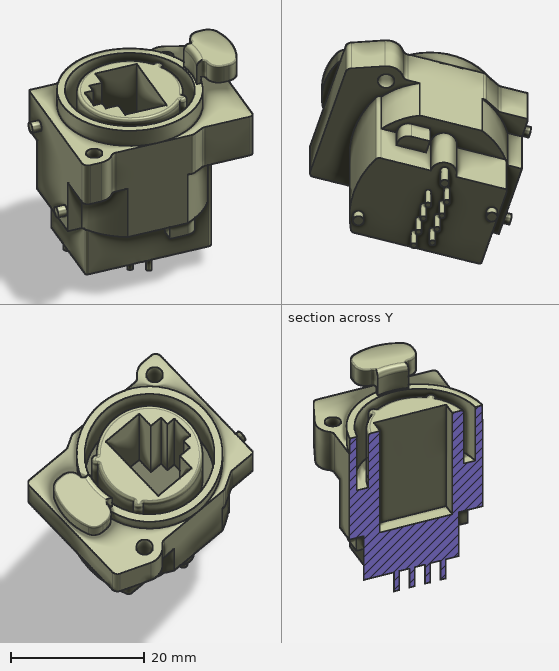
import cadquery as cq
import math


FEET_BOTTOM = 2.02
BASE_BOTTOM = 3.5
KEY_BOTTOM = 8.1
BODY_BOTTOM = 11.55
FLANGE_BOTTOM = 20.35
FLANGE_TOP = 27.4
RING_TOP = 30.2
TAB_BOTTOM = 31.28
TAB_TOP = 34.3

RING_RADIUS = 10.95
BORE_RADIUS = 9.75
PLUG_RADIUS = 7.95
PLUG_ROUNDING = 0.5
RIB_RADIUS = 0.8
RIB_X = 4.65
RIB_Y = math.sqrt(PLUG_RADIUS**2 - RIB_X**2)

OPENING_BACK = 3.55
OPENING_STEPS = [(5.9, -3.2), (3.25, -5.2), (1.82, -6.6)]

FLANGE_FRONT = -12.55
FLANGE_BACK = 16.12
HALF_WIDTH = 10.95
FRONT_LEFT_X = -9.4
BACK_RIGHT_X = 9.75
EAR_X = 9.88
EAR_Y = 9.85
EAR_RADIUS = 2.68
SCREW_HOLE_RADIUS = 1.25
BLEND_RADIUS = 1.0
FRONT_CORNER_RADIUS = 0.3
BACK_CORNER_RADIUS = 0.7
SHOULDER_Y = 5.3
BACK_SHOULDER_Y = 5.83
SHOULDER_ANGLE = math.radians(30)
EAR_SIDE_ANGLE = math.radians(159)

BODY_RADIUS = 11.97
BODY_BLOCK_HALF_WIDTH = 6.1
BASE_HALF_WIDTH = 7.0
BASE_FRONT = -10.0
BASE_FRONT_ROUNDING = 0.38
BASE_BACK_CORNER_Y = 10.3
BASE_BACK_ROUNDING = 0.7

KEY_HALF_WIDTH = 9.12
KEY_FRONT = 2.75
KEY_BACK = 7.37
KEY_ROUNDING = 1.7
COLUMN_RADIUS = 2.0
COLUMN_X = -7.03

CONTACT_COUNT = 8
CONTACT_PITCH = 1.27
CONTACT_ROW_Y = 1.27
CONTACT_RADIUS = 0.45
GROUND_PIN_X = -7.58
GROUND_PIN_RADIUS = 0.65
PEG_RADIUS = 0.82
FEET = [(-2.55, -8.9), (3.8, 10.12)]
FRONT_PEG_TIP = -14.03
FRONT_PEGS = [(-5.08, 23.65), (5.1, 14.75)]

TAB_BACK = 16.55
TAB_HALF_WIDTH = 5.0
TAB_CORNER_RADIUS = 2.0
TAB_BACK_RADIUS = 9.65
TAB_SIDE_FRONT = 13.15
TAB_EDGE_ROUNDING = 0.2
STRAP_HALF_WIDTH = 2.5
STRAP_FRONT_RADIUS = 10.12
STRAP_BACK_RADIUS = 10.8
STRAP_ROUNDING = 1.0


def prism(sketch, bottom, top):
    """Extrude a closed XY outline between two levels."""
    return sketch.extrude(top - bottom).translate((0, 0, bottom))


def cylinder(radius, bottom, top, x=0, y=0):
    return prism(cq.Workplane("XY").center(x, y).circle(radius), bottom, top)


def block(x_min, x_max, y_min, y_max, bottom, top):
    outline = cq.Workplane("XY").moveTo(x_min, y_min).lineTo(x_max, y_min).lineTo(x_max, y_max)
    return prism(outline.lineTo(x_min, y_max).close(), bottom, top)


def polar(centre, radius, angle):
    return (centre[0] + radius * math.cos(angle), centre[1] + radius * math.sin(angle))


def half_turned(point):
    """Turn a point half a turn about the socket axis."""
    return (-point[0], -point[1])


def reflected(point):
    """Reflect a point to the other side of X = 0."""
    return (-point[0], point[1])


def flange():
    """Plate with two diagonally opposite screw ears and stepped-in sides."""
    ear = (-EAR_X, EAR_Y)
    ear_start = polar(ear, EAR_RADIUS, EAR_SIDE_ANGLE)
    blend_x = -HALF_WIDTH - BLEND_RADIUS
    centre_distance = EAR_RADIUS + BLEND_RADIUS
    blend_y = EAR_Y - math.sqrt(centre_distance**2 - (blend_x + EAR_X) ** 2)
    ear_end_angle = math.atan2(blend_y - EAR_Y, blend_x + EAR_X) + 2 * math.pi
    ear_end = polar(ear, EAR_RADIUS, ear_end_angle)
    ear_middle = polar(ear, EAR_RADIUS, (EAR_SIDE_ANGLE + ear_end_angle) / 2)
    blend_middle = polar((blend_x, blend_y), BLEND_RADIUS, (ear_end_angle - math.pi) / 2)
    blend_end = (-HALF_WIDTH, blend_y)

    right_ear_end = (EAR_X + EAR_RADIUS, -EAR_Y)
    right_ear_middle = half_turned(polar(ear, EAR_RADIUS, (math.pi + ear_end_angle) / 2))

    left_step = (HALF_WIDTH + FRONT_LEFT_X) / math.tan(SHOULDER_ANGLE)
    right_step = (HALF_WIDTH - BACK_RIGHT_X) / math.tan(SHOULDER_ANGLE)
    ear_side_slope = math.tan(EAR_SIDE_ANGLE - math.pi / 2)
    back_left_x = ear_start[0] + (FLANGE_BACK - ear_start[1]) / ear_side_slope
    front_left = (FRONT_LEFT_X, FLANGE_FRONT)
    front_right = (EAR_X + EAR_RADIUS, FLANGE_FRONT)
    back_left = (back_left_x, FLANGE_BACK)
    back_right = (BACK_RIGHT_X, FLANGE_BACK)
    shoulders = [
        (-HALF_WIDTH, -SHOULDER_Y),
        (FRONT_LEFT_X, -SHOULDER_Y - left_step),
        (HALF_WIDTH, BACK_SHOULDER_Y),
        (BACK_RIGHT_X, BACK_SHOULDER_Y + right_step),
    ]

    outline = (
        cq.Workplane("XY")
        .moveTo(*ear_start)
        .threePointArc(ear_middle, ear_end)
        .threePointArc(blend_middle, blend_end)
        .lineTo(*shoulders[0])
        .lineTo(*shoulders[1])
        .lineTo(*front_left)
        .lineTo(*front_right)
        .lineTo(*right_ear_end)
        .threePointArc(right_ear_middle, half_turned(ear_end))
        .threePointArc(half_turned(blend_middle), half_turned(blend_end))
        .lineTo(*shoulders[2])
        .lineTo(*shoulders[3])
        .lineTo(*back_right)
        .lineTo(*back_left)
        .close()
    )
    plate = prism(outline, FLANGE_BOTTOM, FLANGE_TOP)

    corner_groups = [
        (BLEND_RADIUS, shoulders + [front_right, back_left]),
        (FRONT_CORNER_RADIUS, [front_left]),
        (BACK_CORNER_RADIUS, [back_right]),
    ]
    middle = (FLANGE_BOTTOM + FLANGE_TOP) / 2
    for radius, corners in corner_groups:
        for x, y in corners:
            edge = plate.edges("|Z").edges(cq.selectors.NearestToPointSelector((x, y, middle)))
            plate = edge.fillet(radius)
    return plate


def screw_holes():
    left = cylinder(SCREW_HOLE_RADIUS, FLANGE_BOTTOM, FLANGE_TOP, -EAR_X, EAR_Y)
    right = cylinder(SCREW_HOLE_RADIUS, FLANGE_BOTTOM, FLANGE_TOP, EAR_X, -EAR_Y)
    return left.union(right)


def body():
    """Round body with flattened sides and a flat block at the front."""
    flats = block(-HALF_WIDTH, HALF_WIDTH, -BODY_RADIUS, BODY_RADIUS, BODY_BOTTOM, FLANGE_BOTTOM)
    front = block(
        -BODY_BLOCK_HALF_WIDTH, BODY_BLOCK_HALF_WIDTH, FLANGE_FRONT, 0, BODY_BOTTOM, FLANGE_BOTTOM
    )
    return cylinder(BODY_RADIUS, BODY_BOTTOM, FLANGE_BOTTOM).intersect(flats).union(front)


def base():
    """Base with a bowed back, with its back half reaching up to the flange."""
    outline = (
        cq.Workplane("XY")
        .moveTo(-BASE_HALF_WIDTH, BASE_FRONT)
        .lineTo(BASE_HALF_WIDTH, BASE_FRONT)
        .lineTo(BASE_HALF_WIDTH, BASE_BACK_CORNER_Y)
        .threePointArc((0, BODY_RADIUS), (-BASE_HALF_WIDTH, BASE_BACK_CORNER_Y))
        .close()
    )
    solid = prism(outline, BASE_BOTTOM, FLANGE_BOTTOM)
    solid = solid.edges("|Z and <Y").fillet(BASE_FRONT_ROUNDING)
    solid = solid.edges("|Z").edges(">(-1, 1, 0) or >(1, 1, 0)").fillet(BASE_BACK_ROUNDING)
    upper_front = block(
        -BASE_HALF_WIDTH, BASE_HALF_WIDTH, BASE_FRONT, 0, BODY_BOTTOM, FLANGE_BOTTOM
    )
    return solid.cut(upper_front)


def keys():
    """Bar across the base whose ends are the two side keys, rounded toward the back."""
    bar = block(-KEY_HALF_WIDTH, KEY_HALF_WIDTH, KEY_FRONT, KEY_BACK, KEY_BOTTOM, BODY_BOTTOM)
    return bar.edges("|Z and >Y").fillet(KEY_ROUNDING)


def pins_and_pegs():
    pins = cylinder(GROUND_PIN_RADIUS, 0, BASE_BOTTOM, GROUND_PIN_X)
    for index in range(CONTACT_COUNT):
        x = (index - (CONTACT_COUNT - 1) / 2) * CONTACT_PITCH
        y = CONTACT_ROW_Y if index % 2 else -CONTACT_ROW_Y
        pins = pins.union(cylinder(CONTACT_RADIUS, 0, BASE_BOTTOM, x, y))
    for x, y in FEET:
        pins = pins.union(cylinder(PEG_RADIUS, FEET_BOTTOM, BASE_BOTTOM, x, y))
    for x, z in FRONT_PEGS:
        tip_plane = cq.Workplane("XZ", origin=(x, FRONT_PEG_TIP, z))
        pins = pins.union(tip_plane.circle(PEG_RADIUS).extrude(FRONT_PEG_TIP - FLANGE_FRONT))
    return pins


def plug():
    """Round core with two ribs along it, rounded at the top rim."""
    core = cylinder(PLUG_RADIUS, FLANGE_BOTTOM, RING_TOP)
    for x in (-RIB_X, RIB_X):
        core = core.union(cylinder(RIB_RADIUS, FLANGE_BOTTOM, RING_TOP, x, RIB_Y))
    return core.faces(">Z").edges().fillet(PLUG_ROUNDING)


def opening():
    """Stepped opening, narrowing toward the front."""
    cavity = cq.Workplane("XY")
    for half_width, front in OPENING_STEPS:
        cavity = cavity.union(block(-half_width, half_width, front, OPENING_BACK, BODY_BOTTOM, RING_TOP))
    return cavity


def strap_rolled_edge():
    """Ring of waste outside the quarter-round that turns the strap into the tab top."""
    roll_start = TAB_TOP - STRAP_ROUNDING
    roll_end = STRAP_FRONT_RADIUS + STRAP_ROUNDING
    roll_middle = polar((roll_end, roll_start), STRAP_ROUNDING, math.radians(135))
    return (
        cq.Workplane("XZ")
        .moveTo(BORE_RADIUS, roll_start)
        .lineTo(STRAP_FRONT_RADIUS, roll_start)
        .threePointArc(roll_middle, (roll_end, TAB_TOP))
        .lineTo(BORE_RADIUS, TAB_TOP)
        .close()
        .revolve(360, (0, 0, 0), (0, 1, 0))
    )


def push_tab():
    """Rounded thumb pad on a curved strap that stands on the ring."""
    strap_front_y = math.sqrt(STRAP_FRONT_RADIUS**2 - STRAP_HALF_WIDTH**2)
    corner_x = TAB_HALF_WIDTH - TAB_CORNER_RADIUS
    corner_front_y = TAB_SIDE_FRONT - TAB_CORNER_RADIUS
    neck_radius = corner_x - STRAP_HALF_WIDTH
    neck_y = corner_front_y - neck_radius
    back_centre = (0, TAB_BACK - TAB_BACK_RADIUS)
    centre_distance = TAB_BACK_RADIUS - TAB_CORNER_RADIUS
    tangent_angle = math.acos(corner_x / centre_distance)
    back_corner_y = back_centre[1] + centre_distance * math.sin(tangent_angle)

    strap_corner = (STRAP_HALF_WIDTH, strap_front_y)
    neck_start = (STRAP_HALF_WIDTH, neck_y)
    neck_middle = polar((corner_x, neck_y), neck_radius, math.radians(135))
    neck_end = (corner_x, corner_front_y)
    front_middle = polar((corner_x, TAB_SIDE_FRONT), TAB_CORNER_RADIUS, math.radians(-45))
    side_front = (TAB_HALF_WIDTH, TAB_SIDE_FRONT)
    side_back = (TAB_HALF_WIDTH, back_corner_y)
    back_middle = polar((corner_x, back_corner_y), TAB_CORNER_RADIUS, tangent_angle / 2)
    back_start = polar(back_centre, TAB_BACK_RADIUS, tangent_angle)

    outline = (
        cq.Workplane("XY")
        .moveTo(*reflected(strap_corner))
        .threePointArc((0, STRAP_FRONT_RADIUS), strap_corner)
        .lineTo(*neck_start)
        .threePointArc(neck_middle, neck_end)
        .threePointArc(front_middle, side_front)
        .lineTo(*side_back)
        .threePointArc(back_middle, back_start)
        .threePointArc((0, TAB_BACK), reflected(back_start))
        .threePointArc(reflected(back_middle), reflected(side_back))
        .lineTo(*reflected(side_front))
        .threePointArc(reflected(front_middle), reflected(neck_end))
        .threePointArc(reflected(neck_middle), reflected(neck_start))
        .close()
    )
    pad = prism(outline, TAB_BOTTOM, TAB_TOP)
    top_edges = cq.selectors.StringSyntaxSelector(">Z")
    front_edge = cq.selectors.NearestToPointSelector((0, STRAP_FRONT_RADIUS, TAB_TOP))
    pad = pad.edges(top_edges - front_edge).fillet(TAB_EDGE_ROUNDING)
    pad = pad.cut(strap_rolled_edge())

    strap_width = block(
        -STRAP_HALF_WIDTH, STRAP_HALF_WIDTH, 0, RING_RADIUS, RING_TOP, TAB_BOTTOM
    )
    strap = (
        cylinder(STRAP_BACK_RADIUS, RING_TOP, TAB_BOTTOM)
        .cut(cylinder(STRAP_FRONT_RADIUS, RING_TOP, TAB_BOTTOM))
        .intersect(strap_width)
    )
    return pad.union(strap)


shell = flange().union(body()).union(base()).union(keys())
shell = shell.union(cylinder(COLUMN_RADIUS, BASE_BOTTOM, BODY_BOTTOM, COLUMN_X))
shell = shell.union(cylinder(RING_RADIUS, FLANGE_TOP, RING_TOP))
shell = shell.cut(cylinder(BORE_RADIUS, FLANGE_BOTTOM, RING_TOP)).cut(screw_holes())
socket = shell.union(plug()).cut(opening())
result = socket.union(pins_and_pegs()).union(push_tab())